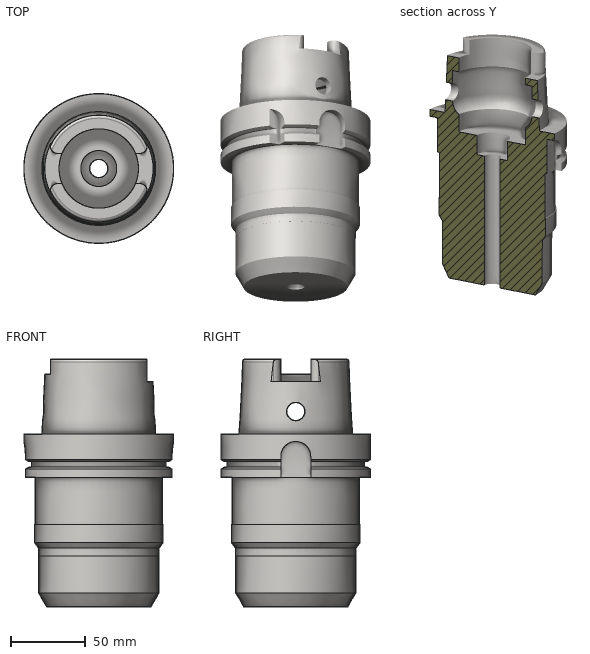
import cadquery as cq
import math


SHANK_LENGTH = 50.0
SHANK_BASE_RADIUS = 38.0
TAPER_SLOPE = 1 / 20
SHANK_TIP_RADIUS = SHANK_BASE_RADIUS - SHANK_LENGTH * TAPER_SLOPE
SHANK_TIP_FILLET = 2.0

FLANGE_RADIUS = 50.0
FLANGE_BOTTOM = -29.0
GROOVE_RADIUS = 46.0
GROOVE_TOP = -18.4
GROOVE_BOTTOM = -22.1
GROOVE_CHAMFER_HEIGHT = 1.4
GROOVE_CHAMFER_DEPTH = 2.4

BODY_RADIUS = 42.5
COLLAR_RADIUS = 43.0
COLLAR_TOP = -60.4
COLLAR_BOTTOM = -72.3
NOSE_RADIUS = 40.25
NOSE_TOP = -76.1
NOSE_STEP = 0.1
NOSE_STEP_HEIGHT = -81.5
NOSE_CONE_TOP = -106.0
NOSE_CONE_ANGLE = 30.0
PART_BOTTOM = -115.4
NOSE_END_RADIUS = (
    NOSE_RADIUS - NOSE_STEP
    - (NOSE_CONE_TOP - PART_BOTTOM) * math.tan(math.radians(NOSE_CONE_ANGLE))
)

MOUTH_RADIUS = 26.5
MOUTH_BOTTOM = 30.0
CHAMBER_RADIUS = 31.5
CHAMBER_ARC_TOP = 9.0
CHAMBER_ARC_RADIUS = 10.0
CHAMBER_ARC_CENTER_RADIUS = CHAMBER_RADIUS - CHAMBER_ARC_RADIUS
PIT_RADIUS = MOUTH_RADIUS
CHAMBER_ARC_SWEEP = math.acos((PIT_RADIUS - CHAMBER_ARC_CENTER_RADIUS) / CHAMBER_ARC_RADIUS)
PIT_FLOOR = -11.6
RECESS_RADIUS = 12.0
RECESS_BOTTOM = -25.0
THROUGH_RADIUS = 6.0

DIAGONAL = math.sqrt(0.5)

DRIVE_SLOT_HALF_WIDTH = 10.0
DRIVE_SLOT_SHALLOW_FLOOR = 40.0
DRIVE_SLOT_DEEP_FLOOR = 35.0
DRIVE_SLOT_CORNER_RADIUS = 5.0
DRIVE_FLAT_DISTANCE = 32.3

CROSS_HOLE_RADIUS = 6.0
CROSS_HOLE_HEIGHT = 15.0

KEYWAY_RADIUS = 10.0
KEYWAY_ARC_HEIGHT = -15.0
KEYWAY_FLOOR = 44.0
NOTCH_CENTER_Y = 41.2
NOTCH_FLOOR = 32.0


def make_body():
    """Revolve the outer outline about Z."""
    groove_neck = FLANGE_RADIUS - GROOVE_CHAMFER_DEPTH
    outline = [
        (0, PART_BOTTOM),
        (NOSE_END_RADIUS, PART_BOTTOM),
        (NOSE_RADIUS - NOSE_STEP, NOSE_CONE_TOP),
        (NOSE_RADIUS - NOSE_STEP, NOSE_STEP_HEIGHT),
        (NOSE_RADIUS, NOSE_STEP_HEIGHT),
        (NOSE_RADIUS, NOSE_TOP),
        (COLLAR_RADIUS, COLLAR_BOTTOM),
        (COLLAR_RADIUS, COLLAR_TOP),
        (BODY_RADIUS, COLLAR_TOP),
        (BODY_RADIUS, FLANGE_BOTTOM),
        (FLANGE_RADIUS, FLANGE_BOTTOM),
        (FLANGE_RADIUS, GROOVE_BOTTOM - GROOVE_CHAMFER_HEIGHT),
        (groove_neck, GROOVE_BOTTOM),
        (GROOVE_RADIUS, GROOVE_BOTTOM),
        (GROOVE_RADIUS, GROOVE_TOP),
        (groove_neck, GROOVE_TOP),
        (FLANGE_RADIUS, GROOVE_TOP + GROOVE_CHAMFER_HEIGHT),
        (FLANGE_RADIUS, 0),
        (SHANK_BASE_RADIUS, 0),
        (SHANK_TIP_RADIUS, SHANK_LENGTH),
        (0, SHANK_LENGTH),
    ]
    body = cq.Workplane("XZ").polyline(outline).close().revolve(360, (0, 0), (0, 1))
    return body.faces(">Z").edges().fillet(SHANK_TIP_FILLET)


def make_bore():
    """Mouth, undercut chamber, pit, recess and through hole as one revolved solid."""
    def arc_point(angle):
        return (
            CHAMBER_ARC_CENTER_RADIUS + CHAMBER_ARC_RADIUS * math.cos(angle),
            CHAMBER_ARC_TOP - CHAMBER_ARC_RADIUS * math.sin(angle),
        )

    arc_bottom = arc_point(CHAMBER_ARC_SWEEP)
    arc_middle = arc_point(CHAMBER_ARC_SWEEP / 2)
    return (
        cq.Workplane("XZ")
        .moveTo(0, PART_BOTTOM)
        .lineTo(THROUGH_RADIUS, PART_BOTTOM)
        .lineTo(THROUGH_RADIUS, RECESS_BOTTOM)
        .lineTo(RECESS_RADIUS, RECESS_BOTTOM)
        .lineTo(RECESS_RADIUS, PIT_FLOOR)
        .lineTo(PIT_RADIUS, PIT_FLOOR)
        .lineTo(*arc_bottom)
        .threePointArc(arc_middle, (CHAMBER_RADIUS, CHAMBER_ARC_TOP))
        .lineTo(CHAMBER_RADIUS, MOUTH_BOTTOM)
        .lineTo(MOUTH_RADIUS, MOUTH_BOTTOM)
        .lineTo(MOUTH_RADIUS, SHANK_LENGTH)
        .lineTo(0, SHANK_LENGTH)
        .close()
        .revolve(360, (0, 0), (0, 1))
    )


def make_drive_slot(side, floor):
    """Drive slot on the +X or -X side, flaring through rounded corners into an end flat."""
    corner = DRIVE_SLOT_CORNER_RADIUS
    flat_x = side * DRIVE_FLAT_DISTANCE
    corner_x = flat_x - side * corner
    corner_y = DRIVE_SLOT_HALF_WIDTH + corner
    outer_x = side * FLANGE_RADIUS
    corner_mid_x = corner_x + side * corner * DIAGONAL
    corner_mid_y = corner_y - corner * DIAGONAL
    return (
        cq.Workplane("XY", origin=(0, 0, floor))
        .moveTo(0, DRIVE_SLOT_HALF_WIDTH)
        .lineTo(corner_x, DRIVE_SLOT_HALF_WIDTH)
        .threePointArc((corner_mid_x, corner_mid_y), (flat_x, corner_y))
        .lineTo(flat_x, FLANGE_RADIUS)
        .lineTo(outer_x, FLANGE_RADIUS)
        .lineTo(outer_x, -FLANGE_RADIUS)
        .lineTo(flat_x, -FLANGE_RADIUS)
        .lineTo(flat_x, -corner_y)
        .threePointArc((corner_mid_x, -corner_mid_y), (corner_x, -DRIVE_SLOT_HALF_WIDTH))
        .lineTo(0, -DRIVE_SLOT_HALF_WIDTH)
        .close()
        .extrude(SHANK_LENGTH - floor)
    )


def make_cross_hole():
    """Hole along X through both walls of the shank."""
    return (
        cq.Workplane("YZ", origin=(-FLANGE_RADIUS, 0, CROSS_HOLE_HEIGHT))
        .circle(CROSS_HOLE_RADIUS)
        .extrude(2 * FLANGE_RADIUS)
    )


def make_keyway(side, center_y, floor):
    """Round-topped slot cut along X from the flange rim to a flat floor."""
    return (
        cq.Workplane("YZ", origin=(side * floor, 0, 0))
        .moveTo(center_y - KEYWAY_RADIUS, FLANGE_BOTTOM)
        .lineTo(center_y - KEYWAY_RADIUS, KEYWAY_ARC_HEIGHT)
        .threePointArc(
            (center_y, KEYWAY_ARC_HEIGHT + KEYWAY_RADIUS),
            (center_y + KEYWAY_RADIUS, KEYWAY_ARC_HEIGHT),
        )
        .lineTo(center_y + KEYWAY_RADIUS, FLANGE_BOTTOM)
        .close()
        .extrude(side * FLANGE_RADIUS)
    )


result = (
    make_body()
    .cut(make_bore())
    .cut(make_cross_hole())
    .cut(make_drive_slot(-1, DRIVE_SLOT_SHALLOW_FLOOR))
    .cut(make_drive_slot(1, DRIVE_SLOT_DEEP_FLOOR))
    .cut(make_keyway(-1, 0, KEYWAY_FLOOR))
    .cut(make_keyway(1, 0, KEYWAY_FLOOR))
    .cut(make_keyway(-1, NOTCH_CENTER_Y, NOTCH_FLOOR))
)